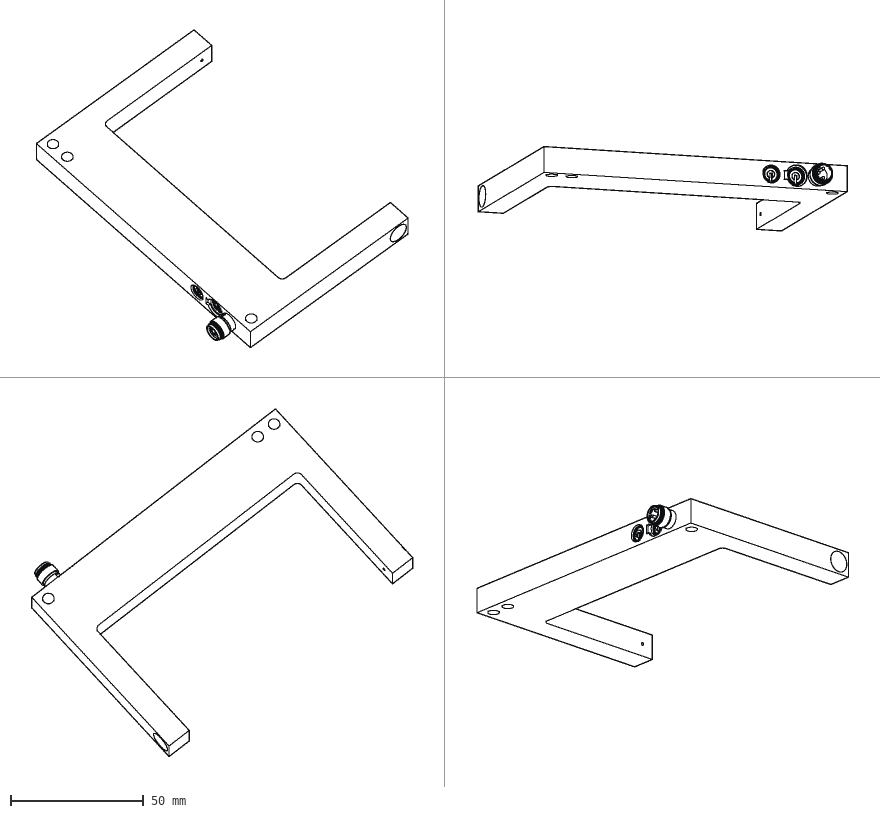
import cadquery as cq

width = 120.0
body_depth = 80.0
thickness = 10.0
arm_width = 10.0
bridge_depth = 25.0
slot_corner_radius = 2.0
middle_z = thickness / 2
from_corner = (False, False, False)

mount_diameter = 4.3
mount_inset = 4.5
mount_pitch = 8.0

beam_from_tip = arm_width / 2
aperture_diameter = 1.0
aperture_depth = 2.4
cap_diameter = 8.2
cap_recess = 0.06

adjuster_recess = 1.0
trimmer_x = 90.0
selector_x = 100.1
adjuster_diameter = 6.7
selector_pocket_diameter = 8.2
selector_pocket_depth = 1.0
dial_outer_diameter = 5.8
dial_inner_diameter = 5.0
dial_height = 0.5
hub_diameter = 2.9
hub_height = 0.5
pointer_width = 1.0
pointer_above_axis = 0.4
pointer_depth = 0.5
window_left = 95.0
window_height = 3.4

connector_x = 108.1
connector_steps = [
    (7.2, 2.4),
    (7.0, 3.2),
    (8.0, 6.2),
    (7.2, 6.7),
    (6.6, 7.1),
    (7.2, 7.5),
    (6.6, 8.5),
]
connector_length = connector_steps[-1][1]
socket_diameter = 5.8
socket_depth = 5.4
pin_diameter = 1.0
pin_length = 4.2
pin_circle_radius = 1.8

flat_angle = 50.0
flat_from_axis = 3.2
flat_start = 0.5
flat_end = 1.9


def front_cylinder(x, z, diameter, start, end):
    """Cylinder along Y at (x, z), between two Y positions."""
    axis = cq.Vector(0, 1, 0)
    base = cq.Vector(x, start, z)
    return cq.Workplane(cq.Solid.makeCylinder(diameter / 2, end - start, base, axis))


def side_cylinder(x, diameter, length):
    """Cylinder along +X on the beam axis, starting at x."""
    start = cq.Vector(x, body_depth - beam_from_tip, middle_z)
    return cq.Workplane(cq.Solid.makeCylinder(diameter / 2, length, start, cq.Vector(1, 0, 0)))


def make_body():
    slot_width = width - 2 * arm_width
    slot_depth = body_depth - bridge_depth
    slot = (
        cq.Workplane().box(slot_width, 2 * slot_depth, thickness, centered=from_corner)
        .edges("|Z and <Y").fillet(slot_corner_radius)
        .translate((arm_width, bridge_depth, 0))
    )
    mounts = [(x, mount_inset) for x in (mount_inset, mount_inset + mount_pitch, width - mount_inset)]
    body = cq.Workplane().box(width, body_depth, thickness, centered=from_corner).cut(slot)
    return body.cut(cq.Workplane().pushPoints(mounts).circle(mount_diameter / 2).extrude(thickness))


def cut_optics(body):
    for x in (0, width - cap_recess):
        body = body.cut(side_cylinder(x, cap_diameter, cap_recess))
    for x in (arm_width - aperture_depth, width - arm_width):
        body = body.cut(side_cylinder(x, aperture_diameter, aperture_depth))
    return body


def cut_adjuster(body, x, face):
    """Round recess below the face depth, holding a dial ring and a hub with a pointer slot."""
    floor = face + adjuster_recess
    ring = front_cylinder(x, middle_z, dial_outer_diameter, floor - dial_height, floor)
    ring = ring.cut(front_cylinder(x, middle_z, dial_inner_diameter, floor - dial_height, floor))
    hub = front_cylinder(x, middle_z, hub_diameter, floor - hub_height, floor)
    pointer_length = dial_outer_diameter / 2 + pointer_above_axis
    pointer = (
        cq.Workplane()
        .box(pointer_width, floor + pointer_depth, pointer_length, centered=(True, False, False))
        .translate((x, 0, middle_z + pointer_above_axis - pointer_length))
    )
    body = body.cut(front_cylinder(x, middle_z, adjuster_diameter, 0, floor))
    return body.union(ring).union(hub).cut(pointer)


def cut_selector_pocket(body):
    window = (
        cq.Workplane()
        .box(selector_x - window_left, selector_pocket_depth, window_height, centered=(False, False, True))
        .translate((window_left, 0, middle_z))
    )
    pocket = front_cylinder(selector_x, middle_z, selector_pocket_diameter, 0, selector_pocket_depth)
    return body.cut(pocket).cut(window)


def make_flat_cutter():
    """Block whose inner face is the flat, turned from straight up toward -X."""
    neck_diameter = connector_steps[0][0]
    return (
        cq.Workplane()
        .box(neck_diameter, flat_end - flat_start, neck_diameter, centered=(True, False, False))
        .translate((0, -flat_end, flat_from_axis))
        .rotate((0, 0, 0), (0, 1, 0), -flat_angle)
        .translate((connector_x, 0, middle_z))
    )


def make_connector_shell():
    """Turned outside of the connector, one cylinder per step."""
    first_diameter, start = connector_steps[0]
    shell = front_cylinder(connector_x, middle_z, first_diameter, -start, 0)
    for diameter, end in connector_steps[1:]:
        shell = shell.union(front_cylinder(connector_x, middle_z, diameter, -end, -start))
        start = end
    return shell


def make_connector():
    connector = make_connector_shell()
    socket_floor = socket_depth - connector_length
    connector = connector.cut(
        front_cylinder(connector_x, middle_z, socket_diameter, -connector_length, socket_floor)
    )
    for side, up in ((-1, 0), (0, 1), (0, -1)):
        pin_x = connector_x + side * pin_circle_radius
        pin_z = middle_z + up * pin_circle_radius
        pin = front_cylinder(pin_x, pin_z, pin_diameter, socket_floor - pin_length, socket_floor)
        connector = connector.union(pin)
    return connector.cut(make_flat_cutter())


body = cut_optics(make_body())
body = cut_selector_pocket(body)
body = cut_adjuster(body, trimmer_x, 0)
body = cut_adjuster(body, selector_x, selector_pocket_depth)
result = body.union(make_connector())